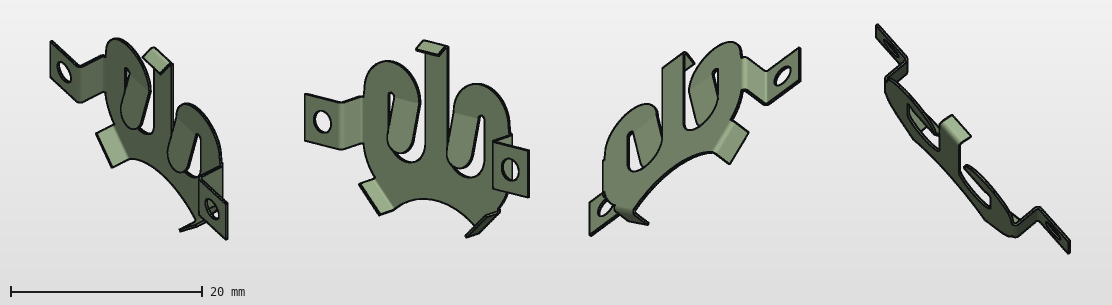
import cadquery as cq
import math

thickness = 0.25
bend_radius_outer = 0.5
bend_radius_mid = bend_radius_outer - thickness / 2

length = 30.73
depth = 3.45
top_z = 10.5

ear_height = 5.1
ear_bend_x = 10.05
ear_hole_diameter = 2.37
ear_hole_x = 12.95

lobe_x = 6.15
lobe_z = 3.38
lobe_radius = 3.78
tongue_width = 3.45
tongue_length = 5.6
tongue_angle = 15.7
tongue_inner_x = lobe_x - lobe_radius
tongue_outer_x = tongue_inner_x + tongue_width

stem_half_width = 1.55
slot_width = 0.83
slot_outer_x = tongue_outer_x + slot_width
slot_bend_x = (slot_outer_x + stem_half_width) / 2
slot_bend_radius = (slot_outer_x - stem_half_width) / 2
slot_bend_z = -0.8

hook_angle = 120.0
hook_tip_length = 1.17

tab_angle = 45.0
tab_bend_distance = 10.17
tab_upper_end = 1.8
tab_lower_end = 2.15
tab_depth = 2.4

shoulder_radius = 6.0
bottom_arch_z = -6.73


def fold_point(along):
    """Point (x, z) on the tab fold line, with 'along' positive up and outward."""
    angle = math.radians(tab_angle)
    x = tab_bend_distance * math.cos(angle) + along * math.sin(angle)
    z = -tab_bend_distance * math.sin(angle) + along * math.cos(angle)
    return x, z


def mirrored(half):
    return half.union(half.mirror("YZ"))


def bent_strip(start, steps, low, high):
    """Sheet strip that leaves the plate along +X, spanning low to high in Z.

    Each step is ("straight", length) or ("bend", degrees); a negative bend turns toward -Y.
    """
    x, y, heading = start, -thickness / 2, 0.0
    half = thickness / 2

    def sides(px, py, direction):
        nx, ny = -math.sin(direction), math.cos(direction)
        return (px + half * nx, py + half * ny), (px - half * nx, py - half * ny)

    stations = [sides(x, y, heading)]
    arc_middles = []
    for kind, amount in steps:
        if kind == "straight":
            x += amount * math.cos(heading)
            y += amount * math.sin(heading)
            arc_middles.append(None)
        else:
            turn = math.radians(amount)
            radius = math.copysign(bend_radius_mid, turn)
            center_x = x - radius * math.sin(heading)
            center_y = y + radius * math.cos(heading)

            def on_arc(direction):
                return center_x + radius * math.sin(direction), center_y - radius * math.cos(direction)

            middle = heading + turn / 2
            arc_middles.append(sides(*on_arc(middle), middle))
            heading += turn
            x, y = on_arc(heading)
        stations.append(sides(x, y, heading))

    profile = cq.Workplane("XY", origin=(0, 0, low)).moveTo(*stations[0][0])
    for middle, station in zip(arc_middles, stations[1:]):
        if middle is None:
            profile = profile.lineTo(*station[0])
        else:
            profile = profile.threePointArc(middle[0], station[0])
    profile = profile.lineTo(*stations[-1][1])
    for middle, station in zip(reversed(arc_middles), reversed(stations[:-1])):
        if middle is None:
            profile = profile.lineTo(*station[1])
        else:
            profile = profile.threePointArc(middle[1], station[1])
    return profile.close().extrude(high - low)


def turned_about_y(strip, angle):
    return strip.rotate((0, 0, 0), (0, 1, 0), angle)


def half_plate():
    """Flat plate for x >= 0, including the lobe and half of the stem."""
    ear_edge_z = ear_height / 2
    tab_top = fold_point(tab_upper_end)
    tab_bottom = fold_point(-tab_lower_end)
    slot_end_radius = slot_width / 2

    arch_rise = bottom_arch_z - tab_bottom[1]
    arch_radius = (tab_bottom[0] ** 2 + arch_rise ** 2) / (2 * arch_rise)
    arch_half_angle = math.asin(tab_bottom[0] / arch_radius) / 2
    arch_middle = (
        arch_radius * math.sin(arch_half_angle),
        bottom_arch_z - arch_radius * (1 - math.cos(arch_half_angle)),
    )

    return (
        cq.Workplane("XZ")
        .moveTo(0, bottom_arch_z)
        .threePointArc(arch_middle, tab_bottom)
        .lineTo(*tab_top)
        .radiusArc((ear_bend_x, -ear_edge_z), -shoulder_radius)
        .lineTo(ear_bend_x, ear_edge_z)
        .lineTo(lobe_x + lobe_radius, lobe_z)
        .threePointArc((lobe_x, lobe_z + lobe_radius), (tongue_inner_x, lobe_z))
        .lineTo(tongue_outer_x, lobe_z)
        .threePointArc((tongue_outer_x + slot_end_radius, lobe_z + slot_end_radius), (slot_outer_x, lobe_z))
        .lineTo(slot_outer_x, slot_bend_z)
        .threePointArc((slot_bend_x, slot_bend_z - slot_bend_radius), (stem_half_width, slot_bend_z))
        .lineTo(stem_half_width, top_z - bend_radius_outer)
        .lineTo(0, top_z - bend_radius_outer)
        .close()
        .extrude(thickness)
    )


def tongue():
    """Round-ended tongue, tilted forward about the front edge of the lobe's lower end."""
    end_radius = tongue_width / 2
    pivot_y = -thickness
    middle_x = tongue_inner_x + end_radius
    round_z = lobe_z - tongue_length + end_radius
    blade = (
        cq.Workplane("XZ")
        .moveTo(tongue_inner_x, lobe_z)
        .lineTo(tongue_inner_x, round_z)
        .threePointArc((middle_x, round_z - end_radius), (tongue_outer_x, round_z))
        .lineTo(tongue_outer_x, lobe_z)
        .close()
        .extrude(thickness)
        .rotate((0, pivot_y, lobe_z), (1, pivot_y, lobe_z), -tongue_angle)
    )
    bend = (
        cq.Workplane("XY", origin=(middle_x, pivot_y, lobe_z))
        .center(0, thickness / 2)
        .rect(tongue_width, thickness)
        .revolve(tongue_angle, (0.3, -thickness / 2), (0, -thickness / 2))
    )
    return blade.union(bend)


def ear():
    """Z-shaped mounting ear with its screw hole."""
    riser = depth - thickness - 2 * bend_radius_mid
    foot = length / 2 - ear_bend_x - 2 * bend_radius_mid
    steps = [("bend", -90), ("straight", riser), ("bend", 90), ("straight", foot)]
    strip = bent_strip(ear_bend_x, steps, -ear_height / 2, ear_height / 2)
    hole = (
        cq.Workplane("XZ", origin=(ear_hole_x, 0, 0))
        .circle(ear_hole_diameter / 2)
        .extrude(depth)
    )
    return strip.cut(hole)


def tab():
    """Lower tab folded square to the plate."""
    steps = [("bend", -90), ("straight", tab_depth - bend_radius_outer)]
    return turned_about_y(bent_strip(tab_bend_distance, steps, -tab_lower_end, tab_upper_end), tab_angle)


def hook():
    """Lip that curls forward and down from the top of the stem."""
    steps = [("bend", -hook_angle), ("straight", hook_tip_length)]
    strip = bent_strip(top_z - bend_radius_outer, steps, -stem_half_width, stem_half_width)
    return turned_about_y(strip, -90)


result = mirrored(half_plate().union(tongue()).union(ear()).union(tab())).union(hook())